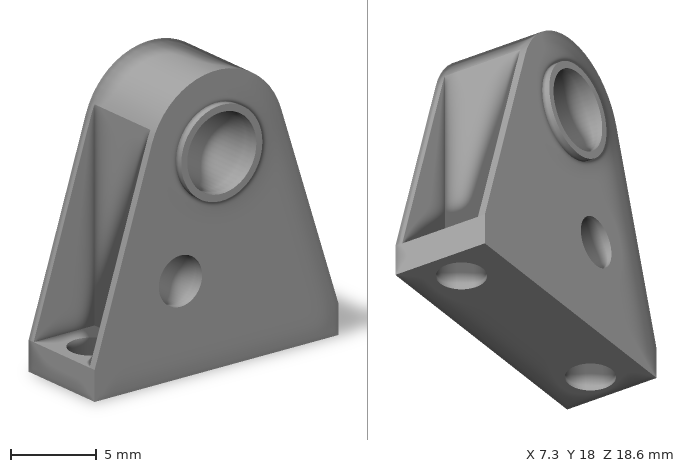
import cadquery as cq
import math

height = 18.62
base_length = 18.0
total_width = 7.3
boss_height = 0.5
body_width = total_width - 2 * boss_height

base_height = 2.0
head_radius = 5.0
head_z = height - head_radius

boss_diameter = 6.0
bore_diameter = 5.1

cross_hole_diameter = 3.2
cross_hole_y = -2.66
cross_hole_z = 6.07

side_wall = 0.48
web_half_length = 4.5
mount_hole_diameter = 3.0
mount_hole_y = 6.75


def cylinder_along_x(diameter, length, y, z):
    """Cylinder parallel to X, centred on X = 0."""
    return cq.Workplane("YZ").center(y, z).circle(diameter / 2).extrude(length / 2, both=True)


def make_body():
    """Plate whose sloping edges run tangent into the round head."""
    half_length = base_length / 2
    drop = head_z - base_height
    corner_distance = math.hypot(half_length, drop)
    tangent_angle = math.acos(head_radius / corner_distance) - math.atan2(drop, half_length)
    tangent_y = head_radius * math.cos(tangent_angle)
    tangent_z = head_z + head_radius * math.sin(tangent_angle)
    return (
        cq.Workplane("YZ")
        .moveTo(-half_length, 0)
        .lineTo(half_length, 0)
        .lineTo(half_length, base_height)
        .lineTo(tangent_y, tangent_z)
        .threePointArc((0, height), (-tangent_y, tangent_z))
        .lineTo(-half_length, base_height)
        .close()
        .extrude(body_width / 2, both=True)
    )


def make_end_pocket(side):
    """Pocket above the base, between the side walls, open at the end and top."""
    pocket_length = base_length / 2 - web_half_length
    return cq.Workplane("XY").box(
        body_width - 2 * side_wall,
        pocket_length,
        height - base_height,
        centered=(True, True, False),
    ).translate((0, side * (web_half_length + pocket_length / 2), base_height))


def make_mount_hole(side):
    """Vertical hole through the base."""
    return (
        cq.Workplane("XY")
        .center(0, side * mount_hole_y)
        .circle(mount_hole_diameter / 2)
        .extrude(base_height)
    )


result = make_body()
for end in (-1, 1):
    result = result.cut(make_end_pocket(end)).cut(make_mount_hole(end))

result = result.union(cylinder_along_x(boss_diameter, total_width, 0, head_z))
result = result.cut(cylinder_along_x(bore_diameter, total_width, 0, head_z))
result = result.cut(
    cylinder_along_x(cross_hole_diameter, total_width, cross_hole_y, cross_hole_z)
)